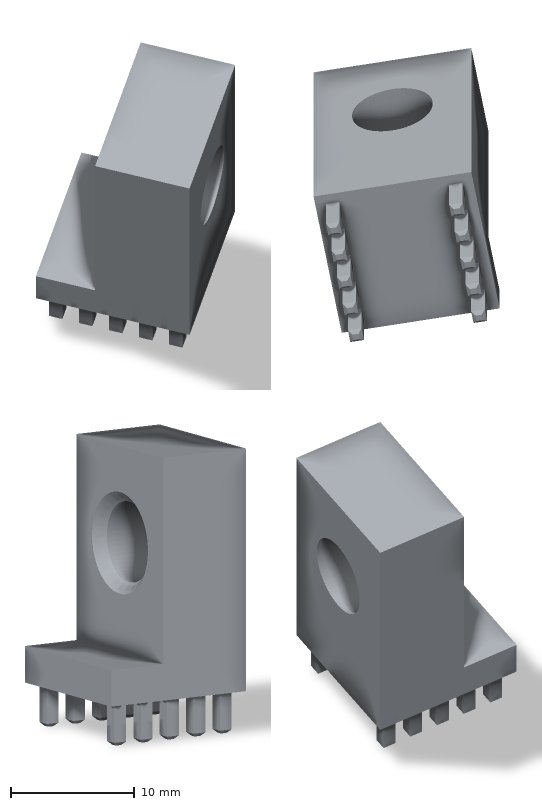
import cadquery as cq

body_side = 13.0
total_height = 23.5
pin_length = 3.5
base_thickness = 3.0
step_depth = 5.0

hole_diameter = 6.65
countersink_diameter = 8.4
hole_below_top = 8.0

pin_width = 1.13
pin_pitch = 2.54
pins_per_row = 5
pin_tip_chamfer = 0.3

half_side = body_side / 2
row_offset = pin_pitch * (pins_per_row - 1) / 2
upright_depth = body_side - step_depth
step_x = step_depth - half_side
countersink_depth = (countersink_diameter - hole_diameter) / 2


def make_body():
    """L-shaped block: a flat base with an upright on its +X side."""
    underside = cq.Workplane("XY", origin=(0, 0, pin_length))
    base = underside.box(body_side, body_side, base_thickness, centered=(True, True, False))
    upright = (
        underside
        .center(step_x, 0)
        .box(upright_depth, body_side, total_height - pin_length, centered=(False, True, False))
    )
    return base.union(upright)


def make_hole():
    """Cutter for the through hole, with a 45 degree countersink on the upright's -X face."""
    center = (step_x, 0, total_height - hole_below_top)
    face = cq.Workplane("YZ", origin=center)
    bore = face.circle(hole_diameter / 2).extrude(upright_depth)
    countersink = face.circle(countersink_diameter / 2).extrude(countersink_depth, taper=45)
    return bore.union(countersink)


def make_pins():
    """Two rows of square pins, one along each Y side, with chamfered tips."""
    pin_centers = [
        (column * pin_pitch - row_offset, side * row_offset)
        for column in range(pins_per_row)
        for side in (-1, 1)
    ]
    return (
        cq.Workplane("XY")
        .pushPoints(pin_centers)
        .rect(pin_width, pin_width)
        .extrude(pin_length)
        .faces("<Z")
        .chamfer(pin_tip_chamfer)
    )


result = make_body().cut(make_hole()).union(make_pins())